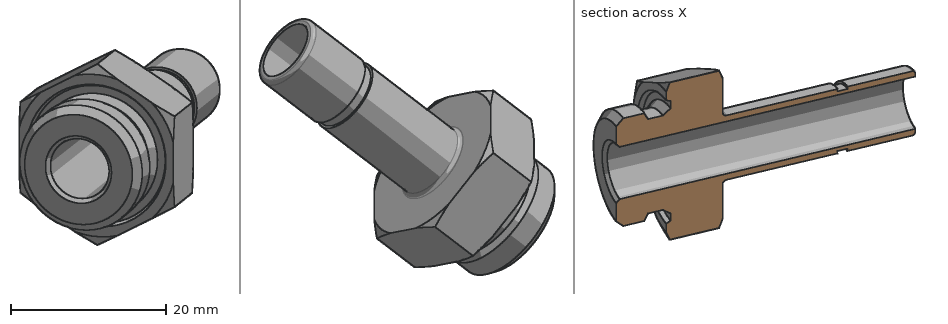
import cadquery as cq
import math

length = 42.0
y_front = -length / 2
y_back = length / 2
front_spigot_length = 7.0
hex_front = y_front + front_spigot_length
hex_length = 8.0
hex_back = hex_front + hex_length

across_flats = 21.0
hex_half_angle = 30
across_corners = across_flats / math.cos(math.radians(hex_half_angle))
bevel_diameter = 21.67
bevel_depth = 0.5

thread_diameter = 16.67
thread_length = 4.0
thread_chamfer = 1.0
neck_diameter = 14.6
neck_shoulder_length = 0.5
neck_flare_length = 0.45
neck_flare_angle = 37
neck_flare_slope = math.tan(math.radians(neck_flare_angle))

recess_rim_diameter = 19.0
recess_floor_diameter = 18.35
recess_depth = 0.65

stem_diameter = 10.0
stem_fillet = 0.5
groove_diameter = 9.3
groove_width = 1.4
tip_length = 9.55
groove_back = y_back - tip_length
groove_front = groove_back - groove_width

bore_diameter = 8.0
bore_chamfer = 0.5


def revolve_profile(points):
    """Revolve a closed (radius, y) outline about the Y axis."""
    return cq.Workplane("XY").polyline(points).close().revolve(360, (0, 0, 0), (0, 1, 0))


def hexagon():
    """Hexagonal prism, corners up and down, with both ends turned to a cone at the corners."""
    prism = (
        cq.Workplane("XZ", origin=(0, hex_back, 0))
        .transformed(rotate=(0, 0, hex_half_angle))
        .polygon(6, across_corners)
        .extrude(hex_length)
    )
    bevel_radius = bevel_diameter / 2
    corner_radius = across_corners / 2
    bevelled_envelope = revolve_profile([
        (0, hex_front),
        (bevel_radius, hex_front),
        (corner_radius, hex_front + bevel_depth),
        (corner_radius, hex_back - bevel_depth),
        (bevel_radius, hex_back),
        (0, hex_back),
    ])
    return prism.intersect(bevelled_envelope)


def seal_recess():
    """Tapered circular pocket in the front face of the hexagon."""
    return revolve_profile([
        (0, hex_front),
        (recess_rim_diameter / 2, hex_front),
        (recess_floor_diameter / 2, hex_front + recess_depth),
        (0, hex_front + recess_depth),
    ])


def threaded_end():
    """Chamfered thread cylinder and its neck, flaring out into the floor of the seal recess."""
    thread_radius = thread_diameter / 2
    neck_radius = neck_diameter / 2
    thread_back = y_front + thread_length
    recess_floor = hex_front + recess_depth
    return revolve_profile([
        (0, y_front),
        (thread_radius - thread_chamfer, y_front),
        (thread_radius, y_front + thread_chamfer),
        (thread_radius, thread_back),
        (neck_radius, thread_back + neck_shoulder_length),
        (neck_radius, hex_front - neck_flare_length),
        (neck_radius + neck_flare_slope * (neck_flare_length + recess_depth), recess_floor),
        (0, recess_floor),
    ])


def stem():
    """Tube stem with a retaining groove, a rounded tip and a filleted root."""
    stem_radius = stem_diameter / 2
    groove_radius = groove_diameter / 2
    arc_midpoint = stem_fillet * (1 - math.cos(math.radians(45)))
    outline = (
        cq.Workplane("XY")
        .moveTo(0, hex_back)
        .lineTo(stem_radius + stem_fillet, hex_back)
        .threePointArc(
            (stem_radius + arc_midpoint, hex_back + arc_midpoint),
            (stem_radius, hex_back + stem_fillet),
        )
        .lineTo(stem_radius, groove_front)
        .lineTo(groove_radius, groove_front)
        .lineTo(groove_radius, groove_back)
        .lineTo(stem_radius, groove_back)
        .lineTo(stem_radius, y_back - stem_fillet)
        .threePointArc(
            (stem_radius - arc_midpoint, y_back - arc_midpoint),
            (stem_radius - stem_fillet, y_back),
        )
        .lineTo(0, y_back)
        .close()
    )
    return outline.revolve(360, (0, 0, 0), (0, 1, 0))


def bore():
    """Through bore, chamfered at the threaded end."""
    bore_radius = bore_diameter / 2
    return revolve_profile([
        (0, y_front),
        (bore_radius + bore_chamfer, y_front),
        (bore_radius, y_front + bore_chamfer),
        (bore_radius, y_back),
        (0, y_back),
    ])


result = hexagon().cut(seal_recess()).union(threaded_end()).union(stem()).cut(bore())